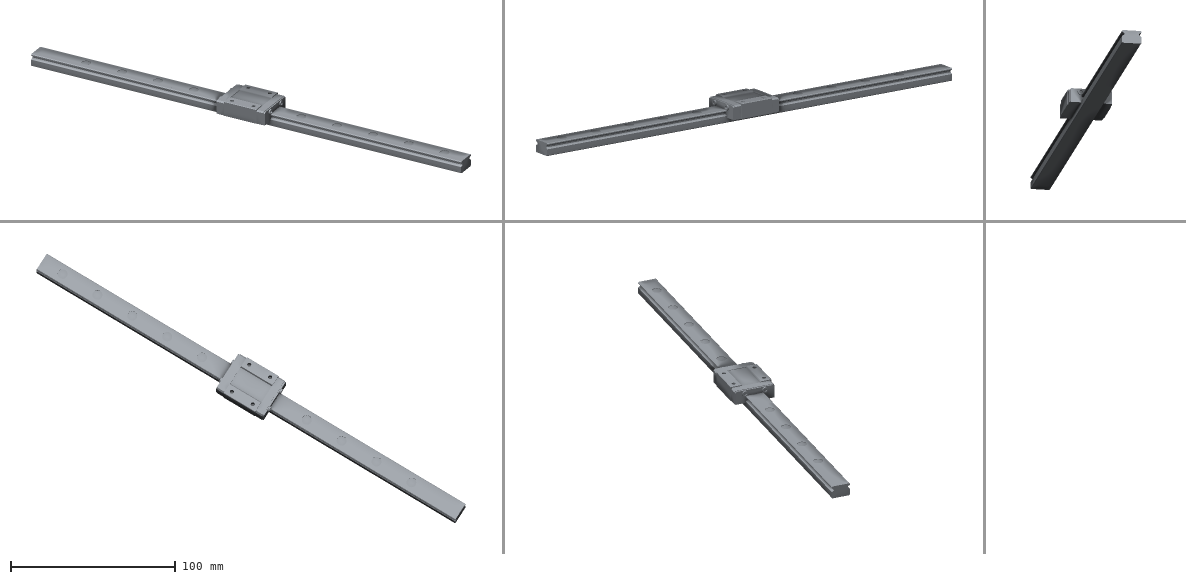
import cadquery as cq

RAIL_LENGTH = 300.0
RAIL_WIDTH = 12.0
RAIL_HEIGHT = 8.0
RAIL_CHAMFER = 0.45
GROOVE_HEIGHT = 5.7
GROOVE_OPENING = 2.7
GROOVE_FLOOR = 1.0
GROOVE_DEPTH = 1.5

RECESS_COUNT = 11
FIRST_RECESS_INSET = 35.0
LAST_RECESS_INSET = 15.0
RECESS_PITCH = (RAIL_LENGTH - FIRST_RECESS_INSET - LAST_RECESS_INSET) / (RECESS_COUNT - 1)
RECESS_DIAMETER = 6.0
RECESS_DEPTH = 0.3

CARRIAGE_BOTTOM = 3.3
CARRIAGE_TOP = 13.0
BLOCK_LENGTH = 22.5
BLOCK_WIDTH = 27.0
BLOCK_CHAMFER = 0.3
CHANNEL_WIDTH = 13.2
CHANNEL_DEPTH = 1.0
CHANNEL_SLOPE = 0.5

THREAD_DIAMETER = 2.45
THREAD_DEPTH = 3.5
THREAD_SPACING_X = 15.0
THREAD_SPACING_Y = 20.0

CAP_LENGTH = 4.8
CAP_WIDTH = 26.5
CAP_TOP = 12.3
CAP_CHAMFER = 1.0
SEAL_THICKNESS = 1.0
SEAL_INSET = 0.3
SCREW_HEAD_DIAMETER = 3.5
SCREW_SOCKET_DIAMETER = 2.0
SCREW_HEAD_HEIGHT = 1.0
SCREW_SPACING = 13.2
SCREW_HEIGHT = 10.0


def make_rail_bar():
    """Plain rail with chamfered long edges and one tapered ball groove in each side."""
    half_width = RAIL_WIDTH / 2
    side = [
        (half_width - RAIL_CHAMFER, 0),
        (half_width, RAIL_CHAMFER),
        (half_width, GROOVE_HEIGHT - GROOVE_OPENING / 2),
        (half_width - GROOVE_DEPTH, GROOVE_HEIGHT - GROOVE_FLOOR / 2),
        (half_width - GROOVE_DEPTH, GROOVE_HEIGHT + GROOVE_FLOOR / 2),
        (half_width, GROOVE_HEIGHT + GROOVE_OPENING / 2),
        (half_width, RAIL_HEIGHT - RAIL_CHAMFER),
        (half_width - RAIL_CHAMFER, RAIL_HEIGHT),
    ]
    mirrored_side = [(-y, z) for y, z in reversed(side)]
    profile = cq.Workplane("YZ").polyline(side + mirrored_side).close()
    return profile.extrude(RAIL_LENGTH / 2, both=True)


def make_rail():
    """Rail with a row of shallow round recesses along the middle of its top."""
    first_x = FIRST_RECESS_INSET - RAIL_LENGTH / 2
    recess_places = [(first_x + i * RECESS_PITCH, 0) for i in range(RECESS_COUNT)]
    recesses = (
        cq.Workplane("XY", origin=(0, 0, RAIL_HEIGHT))
        .pushPoints(recess_places)
        .circle(RECESS_DIAMETER / 2)
        .extrude(-RECESS_DEPTH)
    )
    return make_rail_bar().cut(recesses)


def make_block():
    """Middle of the carriage: chamfered block with a shallow channel and four threaded holes on top."""
    block = (
        cq.Workplane("XY", origin=(0, 0, CARRIAGE_BOTTOM))
        .box(BLOCK_LENGTH, BLOCK_WIDTH, CARRIAGE_TOP - CARRIAGE_BOTTOM, centered=(True, True, False))
        .edges("|X and >Z")
        .chamfer(BLOCK_CHAMFER)
    )
    half_floor = CHANNEL_WIDTH / 2 - CHANNEL_SLOPE
    channel = (
        cq.Workplane("YZ", origin=(0, 0, CARRIAGE_TOP))
        .polyline([
            (-CHANNEL_WIDTH / 2, 0),
            (-half_floor, -CHANNEL_DEPTH),
            (half_floor, -CHANNEL_DEPTH),
            (CHANNEL_WIDTH / 2, 0),
        ])
        .close()
        .extrude(BLOCK_LENGTH / 2, both=True)
    )
    threads = (
        cq.Workplane("XY", origin=(0, 0, CARRIAGE_TOP))
        .rarray(THREAD_SPACING_X, THREAD_SPACING_Y, 2, 2)
        .circle(THREAD_DIAMETER / 2)
        .extrude(-THREAD_DEPTH)
    )
    return block.cut(channel).cut(threads)


def make_plate(start_x, thickness, width, top):
    """Plate across the rail, with its long top edges chamfered."""
    return (
        cq.Workplane("XY", origin=(start_x, 0, CARRIAGE_BOTTOM))
        .box(thickness, width, top - CARRIAGE_BOTTOM, centered=(False, True, False))
        .edges("|X and >Z")
        .chamfer(CAP_CHAMFER)
    )


def make_cap():
    """End cap for the +X end: plate, slightly smaller seal plate and two socket screw heads."""
    cap_x = BLOCK_LENGTH / 2
    seal_x = cap_x + CAP_LENGTH
    face_x = seal_x + SEAL_THICKNESS
    plate = make_plate(cap_x, CAP_LENGTH, CAP_WIDTH, CAP_TOP)
    seal = make_plate(seal_x, SEAL_THICKNESS, CAP_WIDTH - 2 * SEAL_INSET, CAP_TOP - SEAL_INSET)
    heads = (
        cq.Workplane("YZ", origin=(face_x, 0, SCREW_HEIGHT))
        .rarray(SCREW_SPACING, 3, 2, 1)
        .circle(SCREW_HEAD_DIAMETER / 2)
        .extrude(SCREW_HEAD_HEIGHT)
        .faces(">X")
        .workplane(origin=(face_x + SCREW_HEAD_HEIGHT, 0, SCREW_HEIGHT))
        .rarray(SCREW_SPACING, 3, 2, 1)
        .circle(SCREW_SOCKET_DIAMETER / 2)
        .cutBlind(-SCREW_HEAD_HEIGHT)
    )
    return plate.union(seal).union(heads)


def make_carriage():
    """Block with an end cap at both ends, hollowed to slide on the rail."""
    cap = make_cap()
    return make_block().union(cap).union(cap.mirror("YZ")).cut(make_rail_bar())


rail = make_rail()
carriage = make_carriage()

result = cq.Compound.makeCompound([rail.solids().val(), carriage.solids().val()])